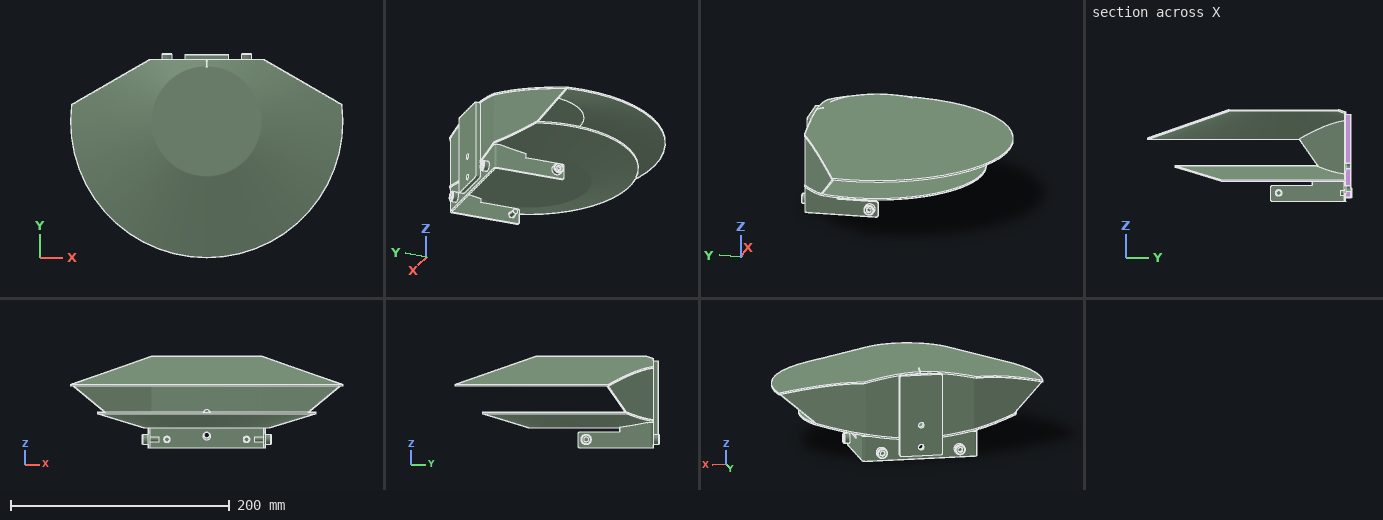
import cadquery as cq
import math

TOTAL_HEIGHT = 84.2
SHEET = 1.5

HOOD_CROWN_RADIUS = 50.3
HOOD_RIM_RADIUS = 124.5
HOOD_RIM_Z = 58.3
HOOD_CROWN_BEND = 2.0
HOOD_SLIT_WIDTH = 0.5

BOWL_BASE_RADIUS = 57.3
BOWL_RIM_RADIUS = 100.0
BOWL_BASE_Z = 18.5
BOWL_RIM_Z = 31.5

BACK_Y = 56.8
SIDE_SLANT = 30
DISH_BACK_HALF_WIDTH = 52.3
WALL_BACK_HALF_WIDTH = 50.8
WALL_BEND = 1.5
WING_LENGTH_AT_HOOD = 82.5
WING_LENGTH_AT_BOWL = 49.3

BRACKET_HALF_WIDTH = 53.5
BRACKET_SHEET = 1.7
BRACKET_BEND = 1.5
BRACKET_HEIGHT = 23.5
ARM_HEIGHT = 15.0
ARM_FRONT_Y = -12.2
ARM_STEP_Y = 26.0
ARM_CORNER = 1.7

PLATE_WIDTH = 39.9
PLATE_THICKNESS = 4.5
PLATE_TOP_Z = 79.7
PLATE_BOTTOM_Z = 4.0
PLATE_CORNER = 1.7

LOWER_HOLE_Z = 11.0
UPPER_HOLE_Z = 31.6
MOUNT_HOLE_RADIUS = 3.5
PLATE_HOLE_RADIUS = 2.5
PLATE_HOLE_RAISE = 1.0

SCREW_Z = 8.0
SHAFT_RADIUS = 2.2
CLEARANCE_RADIUS = 3.0
SIDE_SHAFT_LENGTH = 10.0
REAR_SHAFT_LENGTH = 5.0
HEAD_RADIUS = 4.7
HEAD_LENGTH = 5.5
HEAD_CHAMFER = 0.7
SOCKET_RADIUS = 2.5
SOCKET_DEPTH = 2.5
SIDE_SCREW_Y = -4.7
REAR_SCREW_X = 36.5

REACH = 2 * HOOD_RIM_RADIUS


def revolved(profile):
    """Solid of revolution about the Z axis from (radius, z) points, with its seam at the front."""
    front_half = [(-radius, z) for radius, z in profile]
    return cq.Workplane("YZ").polyline(front_half).close().revolve(360, (0, 0), (0, 1))


def inside_of_back(half_width, inset=0, bend=0):
    """Prism in front of the flat back and its two slanted sides, moved inwards by inset."""
    slant = math.radians(SIDE_SLANT)
    corner_x = half_width - inset * math.tan(slant / 2)
    corner_y = BACK_Y - inset
    side_y = corner_y - (REACH - corner_x) * math.tan(slant)
    right = [(corner_x, corner_y), (REACH, side_y), (REACH, -REACH)]
    left = [(-x, y) for x, y in reversed(right)]
    prism = cq.Workplane("XY").polyline(right + left).close().extrude(TOTAL_HEIGHT)
    if bend:
        prism = prism.edges("|Z and >Y").fillet(bend)
    return prism


def inner_face(outer_face):
    """Base and rim points of the inside of a dish, one sheet thickness from its outer face."""
    (base_radius, base_z), (rim_radius, rim_z) = outer_face
    slope = math.atan2(abs(rim_z - base_z), rim_radius - base_radius)
    inward = math.copysign(1, rim_z - base_z)
    inner_base = (base_radius - SHEET * math.tan(slope / 2), base_z + inward * SHEET)
    inner_rim = (rim_radius, rim_z + inward * SHEET / math.cos(slope))
    return [inner_base, inner_rim]


def on_axis(point):
    """The point of the Z axis level with a (radius, z) point."""
    return (0, point[1])


def dish(outer_face):
    """Shallow sheet cone with a flat base, cut off along the back and the slanted sides."""
    base, rim = outer_face
    inner_base, inner_rim = inner_face(outer_face)
    shell = revolved([on_axis(base), base, rim, inner_rim, inner_base, on_axis(inner_base)])
    return shell.intersect(inside_of_back(DISH_BACK_HALF_WIDTH))


def hole_along_y(x, z, radius):
    """Cutter for a hole through the back of a body."""
    return cq.Workplane("XZ", origin=(x, 0, z)).circle(radius).extrude(-REACH)


HOOD_FACE = [(HOOD_CROWN_RADIUS, TOTAL_HEIGHT), (HOOD_RIM_RADIUS, HOOD_RIM_Z)]
BOWL_FACE = [(BOWL_BASE_RADIUS, BOWL_BASE_Z), (BOWL_RIM_RADIUS, BOWL_RIM_Z)]


def make_hood():
    slit = (
        cq.Workplane("XY")
        .center(0, HOOD_CROWN_RADIUS + REACH / 2)
        .rect(HOOD_SLIT_WIDTH, REACH)
        .extrude(TOTAL_HEIGHT)
    )
    return dish(HOOD_FACE).faces(">Z").edges().fillet(HOOD_CROWN_BEND).cut(slit)


def make_bowl():
    return dish(BOWL_FACE)


def wing_end_cutter():
    """Removes what lies beyond the sloping free end of the right-hand wing, square to its sheet."""
    slant = math.radians(SIDE_SLANT)
    wing_plane = cq.Plane(
        origin=(WALL_BACK_HALF_WIDTH, BACK_Y, 0),
        xDir=(math.cos(slant), -math.sin(slant), 0),
        normal=(-math.sin(slant), -math.cos(slant), 0),
    )
    outline = [
        (WING_LENGTH_AT_BOWL, 0),
        (WING_LENGTH_AT_BOWL, inner_face(BOWL_FACE)[1][1]),
        (WING_LENGTH_AT_HOOD, inner_face(HOOD_FACE)[1][1]),
        (WING_LENGTH_AT_HOOD, TOTAL_HEIGHT),
        (REACH, TOTAL_HEIGHT),
        (REACH, 0),
    ]
    return cq.Workplane(wing_plane).polyline(outline).close().extrude(2 * SHEET, both=True)


def make_wall():
    outside = inside_of_back(WALL_BACK_HALF_WIDTH, bend=WALL_BEND + SHEET)
    inside = inside_of_back(WALL_BACK_HALF_WIDTH, inset=SHEET, bend=WALL_BEND)
    bowl_base, bowl_rim = inner_face(BOWL_FACE)
    hood_base, hood_rim = inner_face(HOOD_FACE)
    space = revolved(
        [on_axis(bowl_base), bowl_base, bowl_rim, hood_rim, hood_base, on_axis(hood_base)]
    )
    wing_end = wing_end_cutter()
    return (
        outside.cut(inside)
        .intersect(space)
        .cut(wing_end)
        .cut(wing_end.mirror("YZ"))
        .cut(hole_along_y(0, UPPER_HOLE_Z, MOUNT_HOLE_RADIUS))
    )


def rounded_block(half_width, back_y, bend):
    """Block from the arm fronts to back_y with its two rear upright edges rounded."""
    return (
        cq.Workplane("XY")
        .center(0, (back_y + ARM_FRONT_Y) / 2)
        .rect(2 * half_width, back_y - ARM_FRONT_Y)
        .extrude(BRACKET_HEIGHT)
        .edges("|Z and >Y")
        .fillet(bend)
    )


def make_bracket():
    outside = rounded_block(BRACKET_HALF_WIDTH, BACK_Y, BRACKET_BEND + BRACKET_SHEET)
    inside = rounded_block(BRACKET_HALF_WIDTH - BRACKET_SHEET, BACK_Y - BRACKET_SHEET, BRACKET_BEND)
    side_outline = [
        (ARM_FRONT_Y, 0),
        (BACK_Y, 0),
        (BACK_Y, BRACKET_HEIGHT),
        (ARM_STEP_Y, BRACKET_HEIGHT),
        (ARM_STEP_Y, ARM_HEIGHT),
        (ARM_FRONT_Y, ARM_HEIGHT),
    ]
    side_shape = (
        cq.Workplane("YZ")
        .polyline(side_outline)
        .close()
        .extrude(REACH, both=True)
        .edges("|X and <Y")
        .fillet(ARM_CORNER)
    )
    base, rim = BOWL_FACE
    bowl_seat = revolved([on_axis(base), base, rim, on_axis(rim)])
    side_holes = (
        cq.Workplane("YZ")
        .center(SIDE_SCREW_Y, SCREW_Z)
        .circle(CLEARANCE_RADIUS)
        .extrude(REACH, both=True)
    )
    bracket = (
        outside.cut(inside)
        .intersect(side_shape)
        .cut(bowl_seat)
        .cut(side_holes)
        .cut(hole_along_y(0, LOWER_HOLE_Z, MOUNT_HOLE_RADIUS))
    )
    for x in (-REAR_SCREW_X, REAR_SCREW_X):
        bracket = bracket.cut(hole_along_y(x, SCREW_Z, CLEARANCE_RADIUS))
    return bracket


def make_plate():
    plate = (
        cq.Workplane("XZ", origin=(0, BACK_Y, (PLATE_TOP_Z + PLATE_BOTTOM_Z) / 2))
        .rect(PLATE_WIDTH, PLATE_TOP_Z - PLATE_BOTTOM_Z)
        .extrude(-PLATE_THICKNESS)
        .edges("|Y")
        .fillet(PLATE_CORNER)
    )
    for z in (LOWER_HOLE_Z, UPPER_HOLE_Z):
        plate = plate.cut(hole_along_y(0, z + PLATE_HOLE_RAISE, PLATE_HOLE_RADIUS))
    return plate


def make_screw(seat, outward, shaft_length):
    """Socket-head screw whose head rests at the point seat and points outward."""
    seat_plane = cq.Plane(origin=seat, xDir=(0, 0, 1), normal=outward)
    head = (
        cq.Workplane(seat_plane)
        .circle(HEAD_RADIUS)
        .extrude(HEAD_LENGTH)
        .faces(cq.selectors.DirectionMinMaxSelector(cq.Vector(outward)))
        .chamfer(HEAD_CHAMFER)
    )
    socket = (
        cq.Workplane(seat_plane)
        .workplane(offset=HEAD_LENGTH - SOCKET_DEPTH)
        .polygon(6, 2 * SOCKET_RADIUS)
        .extrude(SOCKET_DEPTH)
    )
    shaft = cq.Workplane(seat_plane).circle(SHAFT_RADIUS).extrude(-shaft_length)
    return head.cut(socket).union(shaft)


hood = make_hood()
bowl = make_bowl()
wall = make_wall()
bracket = make_bracket()
plate = make_plate()

screws = []
for side in (-1, 1):
    arm_seat = (side * BRACKET_HALF_WIDTH, SIDE_SCREW_Y, SCREW_Z)
    rear_seat = (side * REAR_SCREW_X, BACK_Y, SCREW_Z)
    screws.append(make_screw(arm_seat, (side, 0, 0), SIDE_SHAFT_LENGTH))
    screws.append(make_screw(rear_seat, (0, 1, 0), REAR_SHAFT_LENGTH))

result = cq.Compound.makeCompound(
    [hood.val(), bowl.val(), wall.val(), bracket.val(), plate.val()]
    + [screw.val() for screw in screws]
)